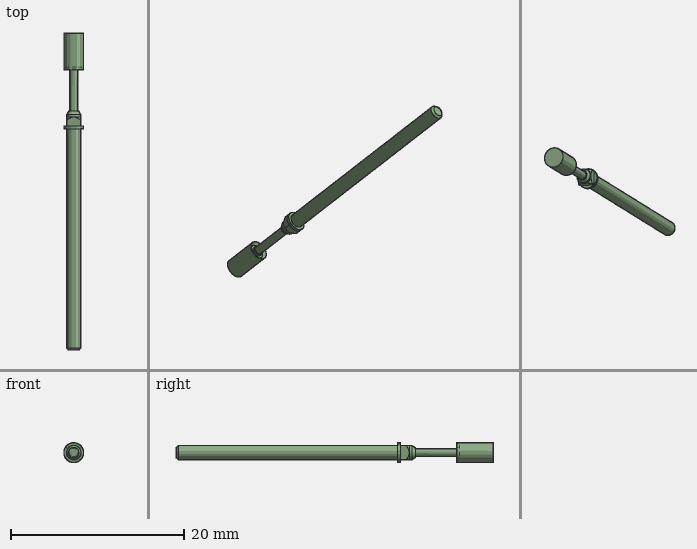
import cadquery as cq

total_length = 36.6
head_end = total_length / 2
tip_end = -total_length / 2

head_diameter = 2.3
head_length = 4.25
shaft_diameter = 0.95
recess_diameter = 2.27
recess_floor_diameter = 1.7
recess_depth = 0.33
shoulder_diameter = 1.17
shoulder_length = 0.25

collar_offset = 9.0
nose_diameter = 1.17
nose_length = 0.4
neck_length = 0.3
flare_length = 0.33

flange_offset = 10.72
flange_diameter = head_diameter
flange_thickness = 0.33

barrel_diameter = 1.65
tip_chamfer_length = 0.25
tip_chamfer_height = 0.22

head_back = head_end - head_length
recess_floor = head_back + recess_depth
collar_top = head_end - collar_offset
flange_top = head_end - flange_offset
flange_bottom = flange_top - flange_thickness
square_width = barrel_diameter


def round_bar(diameter, top, bottom):
    """Cylinder on the Y axis from top down to bottom."""
    return cq.Workplane("XZ", origin=(0, top, 0)).circle(diameter / 2).extrude(top - bottom)


def make_head():
    head = round_bar(head_diameter, head_end, head_back)
    recess = (
        cq.Workplane("XY")
        .moveTo(0, head_back)
        .lineTo(recess_diameter / 2, head_back)
        .lineTo(recess_floor_diameter / 2, recess_floor)
        .lineTo(0, recess_floor)
        .close()
        .revolve(360, (0, 0), (0, 1))
    )
    shoulder = round_bar(shoulder_diameter, recess_floor, recess_floor - shoulder_length)
    return head.cut(recess).union(shoulder)


def make_collar():
    neck_radius = barrel_diameter / 2
    neck_top = collar_top - nose_length
    neck_bottom = neck_top - neck_length
    turned_blank = (
        cq.Workplane("XY")
        .moveTo(0, collar_top)
        .lineTo(nose_diameter / 2, collar_top)
        .lineTo(neck_radius, neck_top)
        .lineTo(neck_radius, neck_bottom)
        .lineTo(flange_diameter / 2, neck_bottom - flare_length)
        .lineTo(flange_diameter / 2, flange_top)
        .lineTo(0, flange_top)
        .close()
        .revolve(360, (0, 0), (0, 1))
    )
    square_bar = (
        cq.Workplane("XZ", origin=(0, collar_top, 0))
        .rect(square_width, square_width)
        .extrude(collar_top - flange_top)
    )
    return turned_blank.intersect(square_bar)


def make_barrel():
    radius = barrel_diameter / 2
    return (
        cq.Workplane("XY")
        .moveTo(0, flange_bottom)
        .lineTo(radius, flange_bottom)
        .lineTo(radius, tip_end + tip_chamfer_length)
        .lineTo(radius - tip_chamfer_height, tip_end)
        .lineTo(0, tip_end)
        .close()
        .revolve(360, (0, 0), (0, 1))
    )


shaft = round_bar(shaft_diameter, recess_floor, collar_top)
flange = round_bar(flange_diameter, flange_top, flange_bottom)

result = make_head().union(shaft).union(make_collar()).union(flange).union(make_barrel())